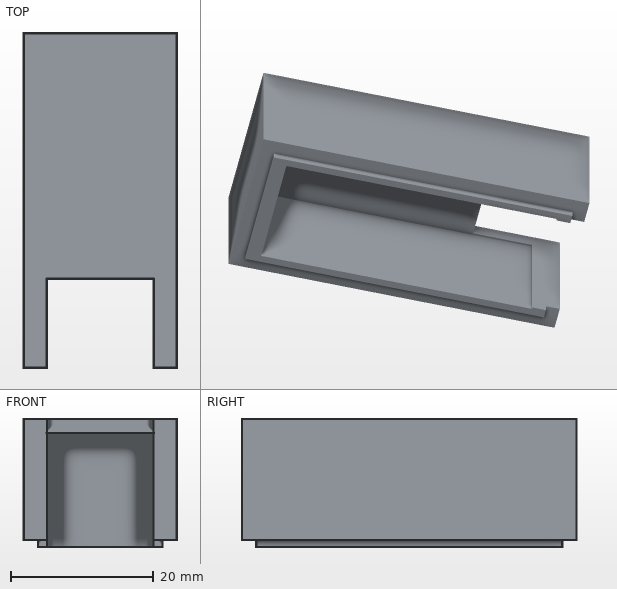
import cadquery as cq

width = 21.5
length = 47.0
height = 18.0

roof = 2.0
end_wall = 4.0
cavity_width = 15.5

opening_width = 15.0
opening_depth = 12.5

lip_height = 1.0
lip_inset = 2.0


def standing_box(size_x, size_y, size_z, front_y, bottom_z=0.0):
    """Box centred on X whose front face is at front_y and whose base is at bottom_z."""
    box = cq.Workplane("XY").box(size_x, size_y, size_z, centered=(True, False, False))
    return box.translate((0, front_y, bottom_z))


def outer_body():
    """Solid block standing on the narrower lip."""
    block = standing_box(width, length, height - lip_height, 0, lip_height)
    lip = standing_box(width - 2 * lip_inset, length - 2 * lip_inset, lip_height, lip_inset)
    return block.union(lip)


def cavity():
    """Room between the end walls and below the roof."""
    return standing_box(cavity_width, length - 2 * end_wall, height - roof, end_wall)


def front_opening():
    """Full-height slot, slightly narrower than the cavity, entering from the front end."""
    return standing_box(opening_width, opening_depth, height, 0)


result = outer_body().cut(cavity()).cut(front_opening())